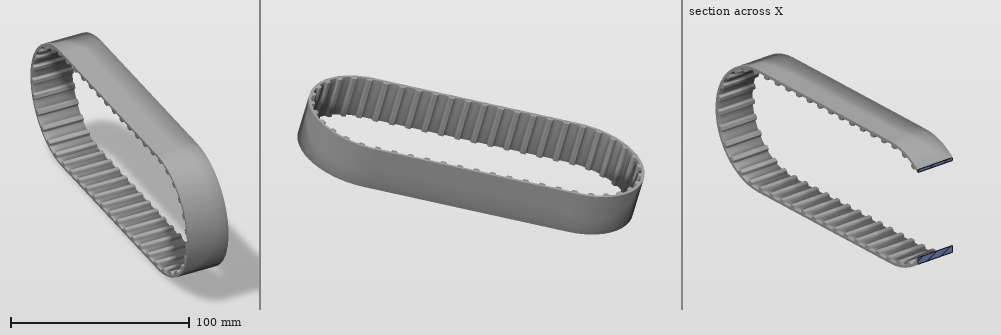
import cadquery as cq
import math

overall_length = 194.63
overall_height = 76.2
belt_width = 25.4
backing_thickness = 1.65
tooth_count = 49
tooth_height = 1.905
tooth_base_width = 4.0
tooth_flank_angle = 20.0
tooth_tip_radius = 0.51
tooth_root_radius = 0.43
tooth_root_overlap = 0.5
tolerance = 0.001

outer_radius = overall_height / 2
root_radius = outer_radius - backing_thickness
straight_length = overall_length - overall_height
half_straight = straight_length / 2
bend_length = math.pi * root_radius
tooth_pitch = 2 * (straight_length + bend_length) / tooth_count
tooth_tip_width = tooth_base_width - 2 * tooth_height * math.tan(math.radians(tooth_flank_angle))


def make_backing():
    """Smooth racetrack band, centred on the origin."""
    return (
        cq.Workplane("XZ")
        .slot2D(overall_length, 2 * outer_radius)
        .slot2D(straight_length + 2 * root_radius, 2 * root_radius)
        .extrude(belt_width / 2, both=True)
    )


def make_tooth():
    """Tooth with a rounded tip and its root at the origin, pointing up along +Z."""
    half_base = tooth_base_width / 2
    half_tip = tooth_tip_width / 2
    return (
        cq.Workplane("XZ")
        .polyline([
            (-half_base, -tooth_root_overlap),
            (-half_base, 0),
            (-half_tip, tooth_height),
            (half_tip, tooth_height),
            (half_base, 0),
            (half_base, -tooth_root_overlap),
        ])
        .close()
        .extrude(belt_width / 2, both=True)
        .faces(">Z")
        .edges("|Y")
        .fillet(tooth_tip_radius)
    )


def root_position(distance):
    """X, Z and turn angle (degrees) on the root line, at a distance from the bottom centre toward -X.

    The distance is signed: positive goes around the -X bend, negative around the +X bend.
    """
    side = math.copysign(1, distance)
    travel = abs(distance)
    if travel <= half_straight:
        return -side * travel, -root_radius, 0
    if travel >= half_straight + bend_length:
        remaining = 2 * half_straight + bend_length - travel
        return -side * remaining, root_radius, side * 180
    angle = (travel - half_straight) / root_radius
    x = -side * (half_straight + root_radius * math.sin(angle))
    z = -root_radius * math.cos(angle)
    return x, z, side * math.degrees(angle)


def place_tooth(tooth, distance):
    """Tooth moved onto the root line and turned to point into the loop."""
    x, z, turn = root_position(distance)
    return tooth.rotate((0, 0, 0), (0, 1, 0), turn).translate((x, 0, z))


def is_root_corner(edge):
    """True for a corner between a tooth flank and the root line, false for the bend tangent lines."""
    center = edge.Center()
    past_straight = abs(center.x) - half_straight
    on_tangent_line = abs(past_straight) < tolerance
    root_distance = math.hypot(max(past_straight, 0), center.z)
    return abs(root_distance - root_radius) < tolerance and not on_tangent_line


def round_tooth_roots(belt):
    """Fillet every corner where a tooth meets the backing."""
    corners = [edge for edge in belt.edges("|Y").vals() if is_root_corner(edge)]
    return belt.newObject(corners).fillet(tooth_root_radius)


single_tooth = make_tooth()
teeth_per_side = tooth_count // 2
teeth = [
    place_tooth(single_tooth, index * tooth_pitch).val()
    for index in range(-teeth_per_side, teeth_per_side + 1)
]
belt = make_backing().union(cq.Workplane(obj=cq.Compound.makeCompound(teeth)))
result = round_tooth_roots(belt)